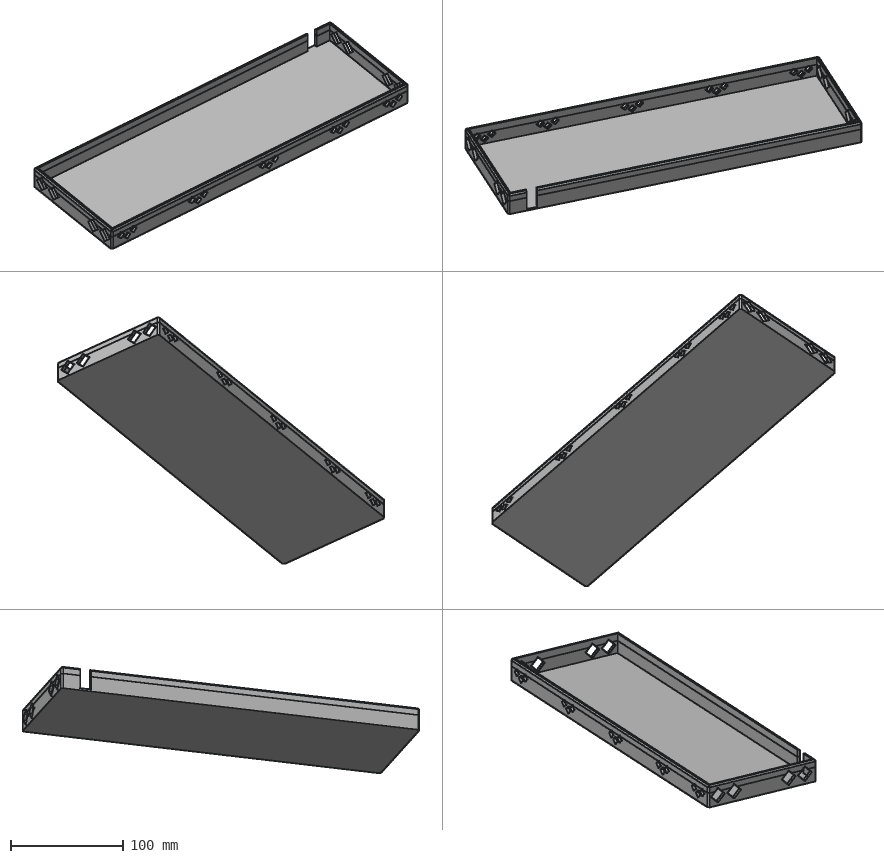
import cadquery as cq

WIDTH = 113.17
LENGTH = 335.4
HEIGHT = 21.0
WALL = 3.0
FLOOR = 2.0
CHAMFER = 1.5
TRAY_HEIGHT = 14.0
CUT_DEPTH = 2 * WALL

NOTCH_WIDTH = 10.0
NOTCH_Y = 145.0

WINDOW_SIDE = 10.0
WINDOW_PITCH = 17.0
WINDOW_PAIR_X = (-36.0, 38.0)
WINDOW_Z = 10.0

VENT_SIDE = 5.0
VENT_PITCH = 7.0
VENT_DROP = 3.8
VENT_GROUP_Y = (-150.0, -70.0, 10.0, 90.0, 150.0)
VENT_Z = 10.8


def centered_block(width, length, bottom, top):
    """Block centred on the Z axis between two levels."""
    return cq.Workplane("XY").workplane(offset=bottom).rect(width, length).extrude(top - bottom)


def diamond_bar(size_x, size_y, size_z, axis, center):
    """Square bar rolled 45 degrees about its long axis, then moved to its centre."""
    return cq.Workplane("XY").box(size_x, size_y, size_z).rotate((0, 0, 0), axis, 45).translate(center)


def make_shell():
    """Open box with chamfered corners and a chamfered outer top edge."""
    outside = centered_block(WIDTH, LENGTH, 0, HEIGHT)
    outside = outside.edges("|Z or >Z").chamfer(CHAMFER)
    cavity = centered_block(WIDTH - 2 * WALL, LENGTH - 2 * WALL, FLOOR, HEIGHT)
    return outside.cut(cavity)


def cut_notch(shell):
    """Open-topped notch through the -X wall, down to the floor."""
    notch = centered_block(CUT_DEPTH, NOTCH_WIDTH, FLOOR, HEIGHT)
    return shell.cut(notch.translate((-WIDTH / 2, NOTCH_Y, 0)))


def cut_end_windows(shell):
    """Pairs of diamond windows running through both end walls."""
    for pair_x in WINDOW_PAIR_X:
        for side in (-1, 1):
            center = (pair_x + side * WINDOW_PITCH / 2, 0, WINDOW_Z)
            bar = diamond_bar(WINDOW_SIDE, 2 * LENGTH, WINDOW_SIDE, (0, 1, 0), center)
            shell = shell.cut(bar)
    return shell


def cut_side_vents(shell):
    """Groups of three small diamonds through the +X wall, the middle one lower."""
    for group_y in VENT_GROUP_Y:
        for step in (-1, 0, 1):
            drop = VENT_DROP if step == 0 else 0
            center = (WIDTH / 2, group_y + step * VENT_PITCH, VENT_Z - drop)
            bar = diamond_bar(CUT_DEPTH, VENT_SIDE, VENT_SIDE, (1, 0, 0), center)
            shell = shell.cut(bar)
    return shell


case = cut_side_vents(cut_end_windows(cut_notch(make_shell())))

tray = case.intersect(centered_block(WIDTH, LENGTH, 0, TRAY_HEIGHT))
rim = case.intersect(centered_block(WIDTH, LENGTH, TRAY_HEIGHT, HEIGHT))

result = cq.Compound.makeCompound([tray.val(), rim.val()])